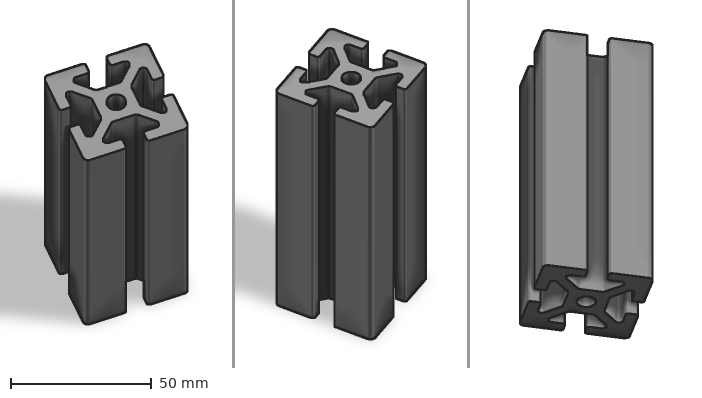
import cadquery as cq
import math

side = 40.0
length = 100.0
corner_radius = 2.0
bore_diameter = 6.8

slot_opening = 8.0
lip_thickness = 4.5
lip_radius = 1.0
core_width = 15.0
core_radius = 2.0
web_thickness = 4.0
pocket_radius = 1.5

half_side = side / 2
half_opening = slot_opening / 2
half_core = core_width / 2
lip_inner = half_side - lip_thickness
web_offset = web_thickness / math.sqrt(2)
pocket_half_width = lip_inner - web_offset
core_half_flat = half_core - web_offset


def fillet_at(body, points, radius):
    """Round the full-length edges passing through the given section points."""
    for x, y in points:
        near = cq.selectors.NearestToPointSelector((x, y, length / 2))
        body = body.edges("|Z").edges(near).fillet(radius)
    return body


def mirrored(x, y):
    return [(-x, y), (x, y)]


def make_slot_cutter():
    """T-slot void on the +Y side, with its pocket and core corners rounded."""
    right_side = [
        (half_opening, half_side),
        (half_opening, lip_inner),
        (pocket_half_width, lip_inner),
        (core_half_flat, half_core),
    ]
    left_side = [(-x, y) for x, y in reversed(right_side)]
    cutter = cq.Workplane("XY").polyline(right_side + left_side).close().extrude(length)
    cutter = fillet_at(cutter, mirrored(pocket_half_width, lip_inner), pocket_radius)
    cutter = fillet_at(cutter, mirrored(core_half_flat, half_core), core_radius)
    return fillet_at(cutter, mirrored(half_opening, lip_inner), lip_radius)


def make_profile():
    body = cq.Workplane("XY").rect(side, side).extrude(length)
    body = body.edges("|Z").fillet(corner_radius)
    cutter = make_slot_cutter()
    mouth_points = mirrored(half_opening, half_side)
    for _ in range(4):
        body = fillet_at(body.cut(cutter), mouth_points, lip_radius)
        body = body.rotate((0, 0, 0), (0, 0, 1), 90)
    bore = cq.Workplane("XY").circle(bore_diameter / 2).extrude(length)
    return body.cut(bore)


result = make_profile()